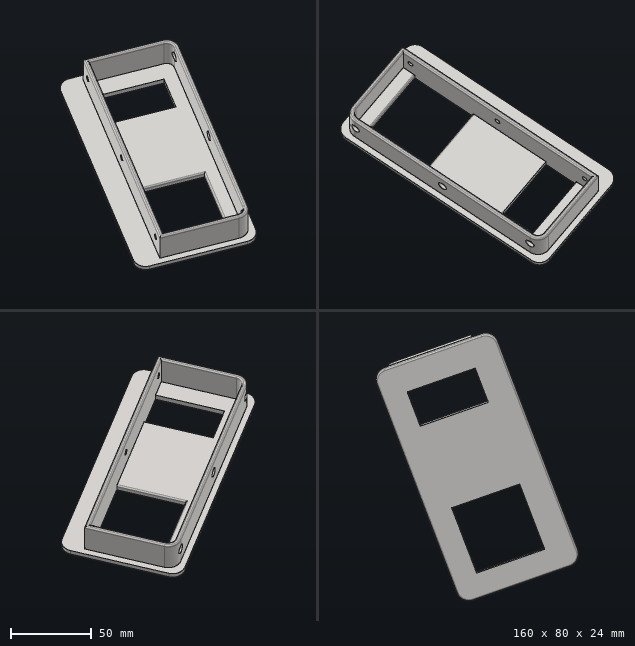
import cadquery as cq
plate_length = 160
plate_width = 80
plate_thickness = 4.0
corner_radius = 8
edge_radius = 1.0

total_height = 24
side_margin = 4.0
frame_corner_radius = 8.2
front_margin = 16
wall_thickness = 3.0
frame_length = plate_length - 2 * side_margin
frame_front = -plate_width / 2 + front_margin
frame_back = plate_width / 2 - side_margin
inner_front = frame_front + wall_thickness

window_back = 23.8
small_window_left = -61.1
small_window_width = 23.5
large_window_left = 19.0
large_window_width = 45.0
lip_radius = 1.0

front_hole_diameter = 3.5
back_hole_diameter = 6.0
hole_spacing = 67.5
hole_height = 14.9


def block(left, right, front, back, bottom, top):
    """Box given by its limits along X, Y and Z."""
    size = (right - left, back - front, top - bottom)
    return cq.Workplane("XY").box(*size, centered=False).translate((left, front, bottom))


def frame_block(inset, bottom):
    """Frame outline moved inwards by inset, solid from bottom to the rim."""
    half_length = frame_length / 2 - inset
    body = block(-half_length, half_length, frame_front + inset, frame_back - inset, bottom, total_height)
    return body.edges("|Z and >Y").fillet(frame_corner_radius - inset)


def base_plate():
    plate = cq.Workplane("XY").box(plate_length, plate_width, plate_thickness, centered=(True, True, False))
    plate = plate.edges("|Z").fillet(corner_radius)
    return plate.faces("<Z").edges().fillet(edge_radius)


def frame():
    walls = frame_block(0, plate_thickness).cut(frame_block(wall_thickness, plate_thickness))
    return walls.faces(">Z").edges().fillet(edge_radius)


def small_window():
    right = small_window_left + small_window_width
    return block(small_window_left, right, inner_front, window_back, 0, plate_thickness)


def large_window():
    """Cutter that flares in a rounded lip at the plate top, except along the front wall."""
    right = large_window_left + large_window_width
    lip_left = large_window_left - lip_radius
    lip_right = right + lip_radius
    lip_back = window_back + lip_radius

    slab = block(lip_left, lip_right, frame_front, lip_back, 0, plate_thickness)
    opening = block(large_window_left, right, inner_front - lip_radius, window_back, 0, plate_thickness)
    surround = block(
        lip_left - lip_radius, lip_right + lip_radius,
        frame_front - lip_radius, lip_back + lip_radius,
        0, plate_thickness,
    )
    lip_edges = cq.selectors.BoxSelector(
        (lip_left, frame_front, plate_thickness - lip_radius / 2),
        (lip_right, lip_back, plate_thickness + lip_radius / 2),
    )
    surround = surround.cut(opening).edges(lip_edges).fillet(lip_radius)
    behind_wall = block(lip_left, lip_right, inner_front, lip_back, 0, plate_thickness)
    return slab.cut(surround).intersect(behind_wall)


def hole_row(diameter, start, depth):
    """Three holes bored along +Y from start."""
    centres = [(x, hole_height) for x in (-hole_spacing, 0, hole_spacing)]
    row = cq.Workplane("XZ", origin=(0, start, 0)).pushPoints(centres)
    return row.circle(diameter / 2).extrude(-depth)


result = (
    base_plate()
    .union(frame())
    .cut(small_window())
    .cut(large_window())
    .cut(hole_row(front_hole_diameter, frame_front, wall_thickness))
    .cut(hole_row(back_hole_diameter, frame_back - frame_corner_radius, frame_corner_radius))
)